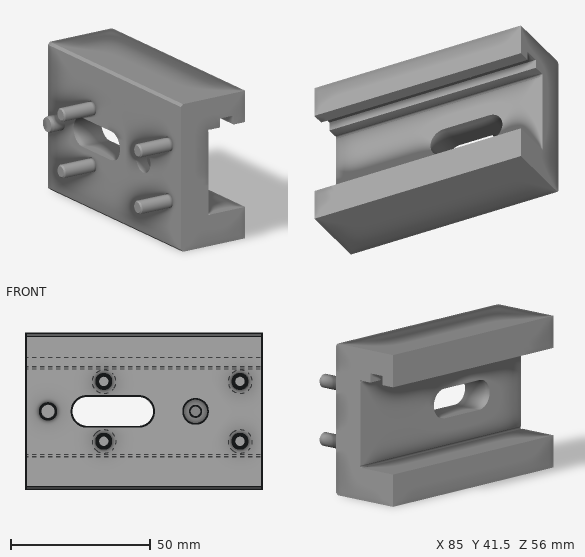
import cadquery as cq
import math


LENGTH = 85.0
HEIGHT = 56.0
DEPTH = 28.0
EDGE_CHAMFER = 0.9
WEB = 12.0
CHANNEL_HEIGHT = 32.2
CHANNEL_TOP = CHANNEL_HEIGHT / 2
CORNER_RELIEF_RADIUS = 0.5

GROOVE_WIDTH = 6.0
GROOVE_DEPTH = 3.4
GROOVE_LIP = 5.0

SLOT_LENGTH = 29.6
SLOT_HEIGHT = 11.0
SLOT_X = -11.2

BORE_X = 18.5
BORE_DIAMETER = 9.0
BORE_DEPTH = 4.5
PLUG_DIAMETER = 4.1

SCREW_DIAMETER = 5.0
SCREW_CLEARANCE_DIAMETER = 5.5
SCREW_REACH = 13.5
SCREW_TIP_CHAMFER = 0.5
SCREW_HEAD_DIAMETER = 8.5
SCREW_HEAD_HEIGHT = 5.0
SCREW_SEAT = WEB - SCREW_HEAD_HEIGHT
SCREW_CENTRE_X = 10.0
SCREW_PITCH_X = 49.0
SCREW_PITCH_Z = 21.5
SCREW_POSITIONS = [
    (SCREW_CENTRE_X + side * SCREW_PITCH_X / 2, row * SCREW_PITCH_Z / 2)
    for side in (-1, 1)
    for row in (-1, 1)
]

DOWEL_X = -34.5
DOWEL_DIAMETER = 6.0
DOWEL_REACH = 5.8
DOWEL_TIP_LENGTH = 1.3
DOWEL_TIP_DIAMETER = 5.35


def rod(x, z, diameter, y_start, y_end):
    """Cylinder along Y between two Y positions."""
    return cq.Workplane("XZ", origin=(x, y_start, z)).circle(diameter / 2).extrude(y_start - y_end)


def bar(y_start, y_end, z_start, z_end):
    """Rectangular bar along the full length of the block."""
    centre = (0, (y_start + y_end) / 2, (z_start + z_end) / 2)
    return cq.Workplane("XY").box(LENGTH, y_end - y_start, z_end - z_start).translate(centre)


def corner_reliefs():
    """Round reliefs along the channel corners, each passing through the sharp corner."""
    offset = CORNER_RELIEF_RADIUS / math.sqrt(2)
    relief_y = WEB + offset
    relief_z = CHANNEL_TOP - offset
    return (
        cq.Workplane("YZ", origin=(-LENGTH / 2, 0, 0))
        .pushPoints([(relief_y, -relief_z), (relief_y, relief_z)])
        .circle(CORNER_RELIEF_RADIUS)
        .extrude(LENGTH)
    )


def groove():
    """Groove cutter, reaching up from mid-channel into the upper arm."""
    groove_rear = DEPTH - GROOVE_LIP
    return bar(groove_rear - GROOVE_WIDTH, groove_rear, 0, CHANNEL_TOP + GROOVE_DEPTH)


def slot():
    return cq.Workplane("XZ").center(SLOT_X, 0).slot2D(SLOT_LENGTH, SLOT_HEIGHT).extrude(-WEB)


def make_plug():
    return rod(BORE_X, 0, PLUG_DIAMETER, BORE_DEPTH, WEB)


def screw_head(x, z):
    """Screw head, which fills its counterbore in the channel floor."""
    return rod(x, z, SCREW_HEAD_DIAMETER, SCREW_SEAT, WEB)


def make_screw(x, z):
    shank = rod(x, z, SCREW_DIAMETER, -SCREW_REACH, SCREW_SEAT)
    shank = shank.faces("<Y").chamfer(SCREW_TIP_CHAMFER)
    return shank.union(screw_head(x, z))


def make_dowel():
    tip_inset = (DOWEL_DIAMETER - DOWEL_TIP_DIAMETER) / 2
    dowel = rod(DOWEL_X, 0, DOWEL_DIAMETER, -DOWEL_REACH, WEB)
    return dowel.faces("<Y").chamfer(DOWEL_TIP_LENGTH, tip_inset)


def make_block():
    block = bar(0, DEPTH, -HEIGHT / 2, HEIGHT / 2)
    block = block.faces("<Y").edges("|X").chamfer(EDGE_CHAMFER)
    block = block.cut(bar(WEB, DEPTH, -CHANNEL_TOP, CHANNEL_TOP))
    block = block.cut(corner_reliefs())
    block = block.cut(groove())
    block = block.cut(slot())

    block = block.cut(rod(BORE_X, 0, BORE_DIAMETER, 0, BORE_DEPTH))
    block = block.cut(make_plug())

    block = block.cut(rod(DOWEL_X, 0, DOWEL_DIAMETER, 0, WEB))

    for x, z in SCREW_POSITIONS:
        block = block.cut(rod(x, z, SCREW_CLEARANCE_DIAMETER, 0, SCREW_SEAT))
        block = block.cut(screw_head(x, z))
    return block


block = make_block()
screws = [make_screw(x, z) for x, z in SCREW_POSITIONS]
dowel = make_dowel()
plug = make_plug()

bodies = [block, *screws, dowel, plug]
result = cq.Compound.makeCompound([body.solids().val() for body in bodies])